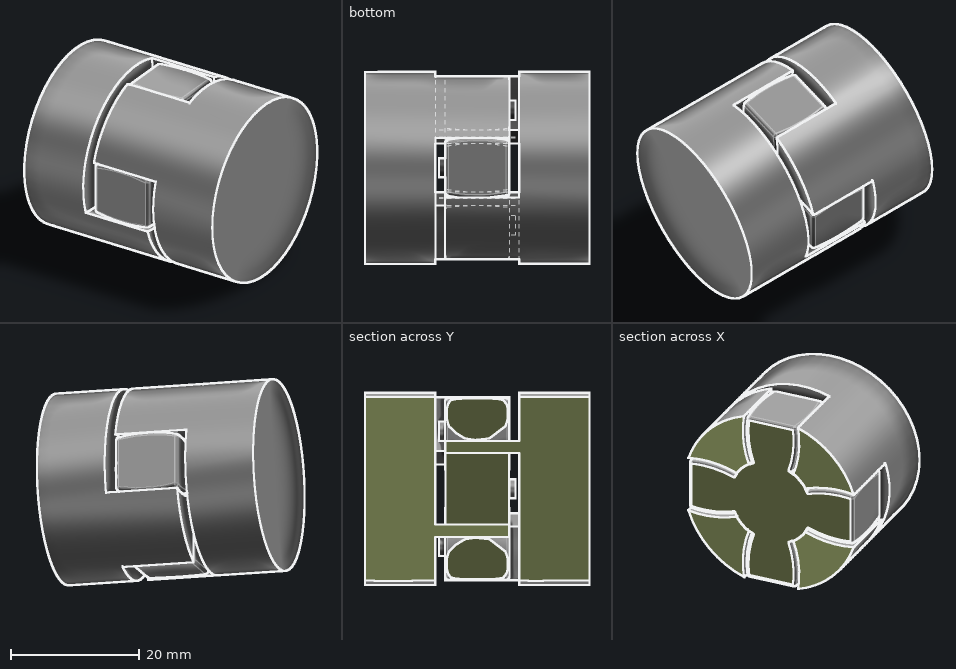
import cadquery as cq
import math


length = 35.0
hub_diameter = 30.0
disc_thickness = 11.0
jaw_bore_radius = 7.0
disc_inner_face = length / 2 - disc_thickness

spider_thickness = 10.0
arm_reach = 14.15
arm_root = 4.2
edge_fillet = 0.5
spider_face = spider_thickness / 2

half_width = 4.83
widest_radius = 11.62
flank_radius = 16.28
crown_radius = 24.0
lens_half_height = math.sqrt(flank_radius**2 - (flank_radius - half_width) ** 2)

pad_diameter = 3.0
pad_height = 0.98
pad_offset = 8.95

arm_angles = (0, 90, 180, 270)

ORIGIN = (0, 0, 0)
X_AXIS = (1, 0, 0)


def cylinder_along_x(radius, start, end):
    return cq.Workplane("YZ", origin=(start, 0, 0)).circle(radius).extrude(end - start)


def quadrant_block():
    """Block that fills the (+Y, +Z) quadrant beyond the disc of the -X hub."""
    return cq.Workplane("XY", origin=(-disc_inner_face, 0, 0)).box(
        length, hub_diameter, hub_diameter, centered=False
    )


def slot():
    """Lens-shaped prism that clears the +Z arm, beyond the disc of the -X hub."""
    return (
        cq.Workplane("YZ", origin=(-disc_inner_face, 0, 0))
        .moveTo(0, widest_radius - lens_half_height)
        .threePointArc((half_width, widest_radius), (0, widest_radius + lens_half_height))
        .threePointArc((-half_width, widest_radius), (0, widest_radius - lens_half_height))
        .close()
        .extrude(length)
    )


def make_hub():
    """Hub at -X, with jaws in the (+Y, +Z) and (-Y, -Z) quadrants."""
    hub = cylinder_along_x(hub_diameter / 2, -length / 2, spider_face)
    clearance = cylinder_along_x(jaw_bore_radius, -disc_inner_face, spider_face)
    for angle in arm_angles:
        clearance = clearance.union(slot().rotate(ORIGIN, X_AXIS, angle))
    for angle in (90, 270):
        clearance = clearance.union(quadrant_block().rotate(ORIGIN, X_AXIS, angle))
    return hub.cut(clearance)


def crowned_flank():
    """Solid of revolution about an axis parallel to Z, bounded by the +Y flank of the +Z arm."""
    axis_y = half_width - crown_radius
    arc_center_y = half_width - flank_radius
    flank_bottom_y = arc_center_y + math.sqrt(flank_radius**2 - (widest_radius - arm_root) ** 2)
    flank_top = 2 * widest_radius - arm_root
    return (
        cq.Workplane("YZ")
        .moveTo(axis_y, arm_root)
        .lineTo(flank_bottom_y, arm_root)
        .threePointArc((half_width, widest_radius), (flank_bottom_y, flank_top))
        .lineTo(axis_y, flank_top)
        .close()
        .revolve(360, (axis_y, 0, 0), (axis_y, 1, 0))
    )


def make_arm():
    """+Z arm of the spider, its edges rounded all round."""
    block = (
        cq.Workplane("XY", origin=(0, 0, arm_root))
        .rect(spider_thickness, 2 * half_width)
        .extrude(arm_reach - arm_root)
    )
    flank = crowned_flank()
    arm = block.intersect(flank).intersect(flank.mirror("XZ"))
    root_edges = cq.selectors.DirectionMinMaxSelector(cq.Vector(0, 0, 1), False)
    return arm.edges(cq.selectors.InverseSelector(root_edges)).fillet(edge_fillet)


def make_pad(side, angle):
    """Pad on the -X (side -1) or +X (side 1) face of the arm at the given angle."""
    pad = cylinder_along_x(pad_diameter / 2, 0, side * (spider_face + pad_height))
    return pad.translate((0, 0, pad_offset)).rotate(ORIGIN, X_AXIS, angle)


def make_spider():
    spider = cylinder_along_x(jaw_bore_radius, -spider_face, spider_face)
    for angle in arm_angles:
        spider = spider.union(make_arm().rotate(ORIGIN, X_AXIS, angle))
    for angle, side in zip(arm_angles, (-1, 1, -1, 1)):
        spider = spider.union(make_pad(side, angle))
    return spider


hub = make_hub()
opposite_hub = hub.rotate(ORIGIN, (0, 0, 1), 180)
spider = make_spider()

result = cq.Compound.makeCompound([hub.val(), opposite_hub.val(), spider.val()])